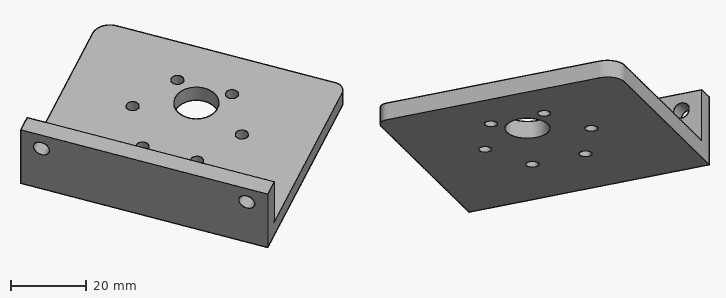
import cadquery as cq

width = 70.0
depth = 60.0
height = 20.0
thickness = 5.0

left_corner_radius = 5.0
right_corner_radius = 3.0

screw_hole_diameter = 3.4
screw_circle_radius = 15.5
screw_count = 6
shaft_hole_diameter = 12.0
shaft_hole_offset = 7.0
shaft_to_free_end = 20.0

wall_hole_diameter = 4.5
wall_hole_spacing = 58.2
wall_hole_below_top = 5.0

shaft_hole_y = depth - shaft_to_free_end
screw_circle_y = shaft_hole_y - shaft_hole_offset


def make_plate():
    """Horizontal plate, centred on X, with its two free corners rounded."""
    plate = cq.Workplane("XY").box(width, depth, thickness, centered=(True, False, False))
    plate = plate.edges("|Z and >Y and <X").fillet(left_corner_radius)
    return plate.edges("|Z and >Y and >X").fillet(right_corner_radius)


def make_wall():
    """Upright wall along the front edge of the plate."""
    return cq.Workplane("XY").box(width, thickness, height, centered=(True, False, False))


def make_plate_holes():
    """Cutters for the shaft hole and the ring of screw holes."""
    shaft = cq.Workplane("XY").center(0, shaft_hole_y).circle(shaft_hole_diameter / 2).extrude(thickness)
    screws = (
        cq.Workplane("XY")
        .center(0, screw_circle_y)
        .polarArray(screw_circle_radius, 0, 360, screw_count)
        .circle(screw_hole_diameter / 2)
        .extrude(thickness)
    )
    return shaft.union(screws)


def make_wall_holes():
    """Cutters for the two fixing holes, running along Y."""
    return (
        cq.Workplane("XZ")
        .center(0, height - wall_hole_below_top)
        .rarray(wall_hole_spacing, 0.7, 2, 1)
        .circle(wall_hole_diameter / 2)
        .extrude(-thickness)
    )


result = make_plate().union(make_wall()).cut(make_plate_holes()).cut(make_wall_holes())